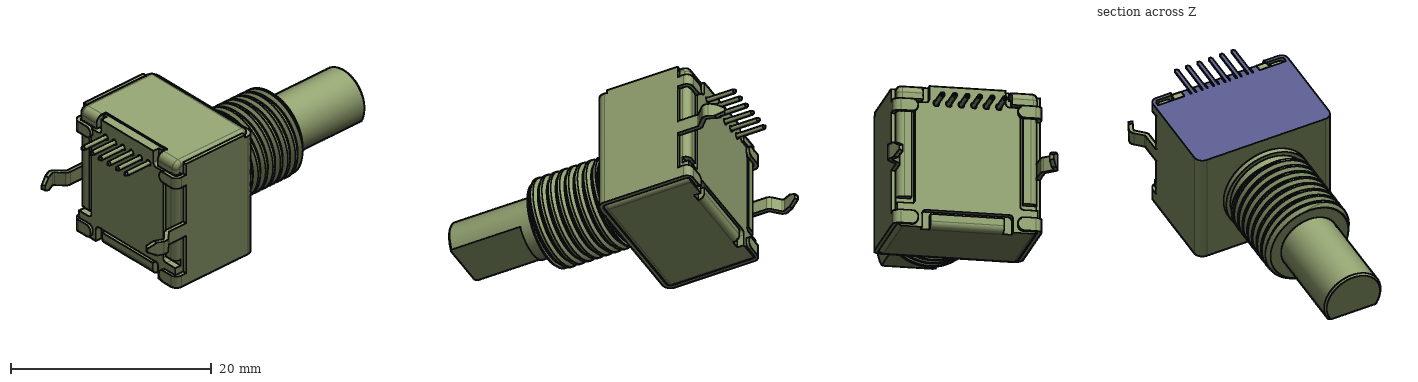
import cadquery as cq
import math


SHAFT_RADIUS = 6.35 / 2
SHAFT_TIP_Y = 18.95
SHAFT_CHAMFER = 0.2
FLAT_Z = -1.6
FLAT_END_Y = 11.05

THREAD_RADIUS = 9.49 / 2
NECK_RADIUS = 4.3
COLLAR_LENGTH = 0.6
BUSHING_END_Y = 9.43
THREAD_START_Y = 1.45
THREAD_CHAMFER = 0.4
THREAD_PITCH = 1.0
THREAD_PHASE = 0.2
THREAD_ROOT_RADIUS = 4.34
GROOVE_WIDTH = 0.7
GROOVE_FLOOR = 0.1
GROOVE_OVERLAP = 0.05

SHEET = 0.43
BRACKET_HALF_WIDTH = 7.57
BRACKET_BEND = 0.93
BRACKET_BOTTOM_Z = -6.53
PLATE_TOP_Z = 7.46
WALL_TOP_Z = 7.78
WALL_STEP_Y = -1.23
WALL_BACK_Y = -9.19

LOWER_TAB_Z = (BRACKET_BOTTOM_Z, -5.17)
UPPER_TAB_Z = (5.24, 6.47)
TAB_BACK_Y = -10.57
TAB_BEND = 0.72
TAB_TIP_X = 5.08
TAB_TIP_RADIUS = 0.6

BODY_HALF_WIDTH = BRACKET_HALF_WIDTH - SHEET
BODY_BOTTOM_Z = -6.75
BODY_TOP_Z = 8.01
BODY_BACK_Y = -10.24
BODY_ROUND = BRACKET_BEND - SHEET

RECESS_FLOOR_Y = -9.5
RECESS_CORNER = 0.42
RECESS_OVERRUN = 1.0
FLAP_BACK_Y = -10.2
FLAP_BEND = 0.7
SIDE_RECESS_X = 5.32
SIDE_RECESS_BOTTOM_Z = -4.33
SIDE_FLAP_X = 5.68
SIDE_FLAP_BOTTOM_Z = -3.65
SIDE_FLAP_TOP_Z = 5.97
TOP_RECESS_X = 3.87
TOP_RECESS_Z = 6.27
TOP_FLAP_X = 4.53
TOP_FLAP_Z = 6.59
TOP_FLAP_BEND = 0.77
BEND_MARGIN = 0.001
BOTTOM_RECESS_X = 4.62
BOTTOM_RECESS_Z = -4.94
BOTTOM_FLAP_X = 3.74
BOTTOM_FLAP_Z = -5.34

NOTCH_FRONT_Y = -8.98
NOTCH_GAP = 0.19
NOTCH_DEPTH = 0.78

PIN_COUNT = 6
PIN_PITCH = 1.27
PIN_Z = 6.26
PIN_RADIUS = 0.23
PIN_HOLE_RADIUS = 0.31
PIN_TIP_Y = -13.42
PIN_CHAMFER = 0.12
PIN_TIP_LENGTH = 0.2

LEG_HALF_WIDTH = 0.76
LEG_TIP_Y = -14.64
LEG_TAPER_Y = -13.72
LEG_TIP_HALF_WIDTH = 0.2
LEG_KNEE_Y = -11.52
LEG_OUTER_X = 17.26 / 2
LEG_LEAN_OUT = math.radians(46)
LEG_LEAN_IN = math.radians(25)
LEG_BEND = 0.65


def box(x_range, y_range, z_range):
    """Axis-aligned box from three (low, high) ranges."""
    ranges = (x_range, y_range, z_range)
    sizes = [high - low for low, high in ranges]
    corner = [low for low, high in ranges]
    return cq.Workplane("XY").box(*sizes, centered=False).translate(tuple(corner))


def mirrored(solid):
    """The solid together with its mirror image across X = 0."""
    return solid.union(solid.mirror("YZ"))


def cylinder(radius, y_start, y_end):
    """Cylinder on the shaft axis."""
    return cq.Workplane("XZ", origin=(0, y_start, 0)).circle(radius).extrude(y_start - y_end)


def make_shaft():
    """D-shaft with a chamfered tip and a flat on its -Z side."""
    shaft = cylinder(SHAFT_RADIUS, -SHEET, SHAFT_TIP_Y).faces(">Y").chamfer(SHAFT_CHAMFER)
    flat = box((-SHAFT_RADIUS, SHAFT_RADIUS), (FLAT_END_Y, SHAFT_TIP_Y), (-SHAFT_RADIUS, FLAT_Z))
    return shaft.cut(flat)


def make_thread_groove():
    """Helical V-groove cutter, long enough to run out past both ends of the thread."""
    start_y = THREAD_PHASE + THREAD_PITCH / 2
    length = (math.ceil(BUSHING_END_Y - start_y) + 1) * THREAD_PITCH
    mouth_radius = THREAD_RADIUS + GROOVE_OVERLAP
    flank_slope = (GROOVE_WIDTH - GROOVE_FLOOR) / (THREAD_RADIUS - THREAD_ROOT_RADIUS)
    half_floor = GROOVE_FLOOR / 2
    half_mouth = half_floor + flank_slope * (mouth_radius - THREAD_ROOT_RADIUS) / 2
    helix = cq.Wire.makeHelix(THREAD_PITCH, length, THREAD_ROOT_RADIUS)
    groove = (
        cq.Workplane("XZ")
        .moveTo(THREAD_ROOT_RADIUS, -half_floor)
        .lineTo(mouth_radius, -half_mouth)
        .lineTo(mouth_radius, half_mouth)
        .lineTo(THREAD_ROOT_RADIUS, half_floor)
        .close()
        .sweep(cq.Workplane(helix), isFrenet=True)
    )
    return groove.rotate((0, 0, 0), (1, 0, 0), -90).translate((0, start_y, 0))


def make_bushing():
    """Threaded bushing with a relief neck and a collar at the mounting face."""
    threaded = cylinder(THREAD_RADIUS, THREAD_START_Y, BUSHING_END_Y)
    threaded = threaded.faces(">Y").chamfer(THREAD_CHAMFER)
    threaded = threaded.cut(make_thread_groove())
    neck = cylinder(NECK_RADIUS, -SHEET, THREAD_START_Y)
    collar = cylinder(THREAD_RADIUS, -SHEET, COLLAR_LENGTH)
    return threaded.union(neck).union(collar)


def back_recess(x_range, z_range):
    """Rounded pocket cutter in the back of the body."""
    cutter = box(x_range, (BODY_BACK_Y, RECESS_FLOOR_Y), z_range)
    return cutter.edges("|Y").fillet(RECESS_CORNER)


def top_flap_block():
    """Square block enclosing the +X top corner flap."""
    y_range = (BODY_BACK_Y, BODY_BACK_Y + TOP_FLAP_BEND + BEND_MARGIN)
    return box((TOP_FLAP_X, BODY_HALF_WIDTH), y_range, (TOP_FLAP_Z, BODY_TOP_Z))


def make_body():
    """Housing body with its back recesses, the notch gap and the seats of the top flaps."""
    body = box(
        (-BODY_HALF_WIDTH, BODY_HALF_WIDTH), (BODY_BACK_Y, -SHEET), (BODY_BOTTOM_Z, BODY_TOP_Z)
    )
    body = body.edges("|Y or >Y").fillet(BODY_ROUND)

    beyond_x = BODY_HALF_WIDTH + RECESS_OVERRUN
    beyond_top = BODY_TOP_Z + RECESS_OVERRUN
    beyond_bottom = BODY_BOTTOM_Z - RECESS_OVERRUN
    side = back_recess((SIDE_RECESS_X, beyond_x), (SIDE_RECESS_BOTTOM_Z, beyond_top))
    top = back_recess((TOP_RECESS_X, beyond_x), (TOP_RECESS_Z, beyond_top))
    bottom = back_recess((-BOTTOM_RECESS_X, BOTTOM_RECESS_X), (beyond_bottom, BOTTOM_RECESS_Z))

    base_x = TOP_FLAP_X - NOTCH_GAP
    notch_z = (BODY_TOP_Z - NOTCH_DEPTH, BODY_TOP_Z)
    notch = box((-TOP_FLAP_X, TOP_FLAP_X), (BODY_BACK_Y, NOTCH_FRONT_Y), notch_z)
    base = box((-base_x, base_x), (BODY_BACK_Y, NOTCH_FRONT_Y - NOTCH_GAP), notch_z)
    gap = notch.cut(base)
    body = body.cut(mirrored(side)).cut(mirrored(top)).cut(bottom).cut(gap)
    return body.cut(mirrored(top_flap_block()))


def make_flaps():
    """Cover flaps bent over the back of the body at the top corners, sides and bottom."""
    y_range = (FLAP_BACK_Y, RECESS_FLOOR_Y)
    side = box((SIDE_FLAP_X, BODY_HALF_WIDTH), y_range, (SIDE_FLAP_BOTTOM_Z, SIDE_FLAP_TOP_Z))
    side = side.edges(">X and <Y").fillet(FLAP_BEND - BEND_MARGIN)

    top = top_flap_block().edges("<Y and >Z").fillet(TOP_FLAP_BEND)
    top = top.faces(">X").edges("not (<Z or >Y)").fillet(BODY_ROUND)

    bottom = box((-BOTTOM_FLAP_X, BOTTOM_FLAP_X), y_range, (BODY_BOTTOM_Z, BOTTOM_FLAP_Z))
    bottom = bottom.edges("<Y and <Z").fillet(FLAP_BEND - BEND_MARGIN)
    return mirrored(side).union(mirrored(top)).union(bottom)


def make_bracket():
    """Front plate bent back into two side walls."""
    outer = box(
        (-BRACKET_HALF_WIDTH, BRACKET_HALF_WIDTH), (WALL_BACK_Y, 0), (BRACKET_BOTTOM_Z, WALL_TOP_Z)
    )
    outer = outer.edges("|Z and >Y").fillet(BRACKET_BEND)
    inner = box(
        (-BODY_HALF_WIDTH, BODY_HALF_WIDTH), (WALL_BACK_Y, -SHEET), (BRACKET_BOTTOM_Z, WALL_TOP_Z)
    )
    inner = inner.edges("|Z and >Y").fillet(BODY_ROUND)
    front_step = box(
        (-BRACKET_HALF_WIDTH, BRACKET_HALF_WIDTH), (WALL_STEP_Y, 0), (PLATE_TOP_Z, WALL_TOP_Z)
    )
    return outer.cut(inner).cut(front_step)


def make_tab(z_range):
    """Tab that continues the +X side wall and folds inward over the back."""
    tab = box((TAB_TIP_X, BRACKET_HALF_WIDTH), (TAB_BACK_Y, WALL_BACK_Y), z_range)
    hollow = box((TAB_TIP_X, BODY_HALF_WIDTH), (TAB_BACK_Y + SHEET, WALL_BACK_Y), z_range)
    tab = tab.edges(">X and <Y").fillet(TAB_BEND)
    hollow = hollow.edges(">X and <Y").fillet(TAB_BEND - SHEET)
    return tab.cut(hollow).edges("<X and |Y").fillet(TAB_TIP_RADIUS)


def make_leg():
    """Bent snap-in leg that continues the +X side wall, with a pointed tip."""
    bisector = (LEG_LEAN_OUT - LEG_LEAN_IN) / 2
    half_turn = (LEG_LEAN_OUT + LEG_LEAN_IN) / 2
    elbow_x = LEG_OUTER_X - LEG_BEND + LEG_BEND * math.cos(bisector) / math.cos(half_turn)
    elbow_y = LEG_KNEE_Y - (elbow_x - BRACKET_HALF_WIDTH) / math.tan(LEG_LEAN_OUT)
    tip_x = elbow_x - (elbow_y - LEG_TIP_Y) * math.tan(LEG_LEAN_IN)
    knee_shift = SHEET * math.tan(LEG_LEAN_OUT / 2)
    elbow_reach = SHEET / math.cos(half_turn)
    inner_elbow = (
        elbow_x - elbow_reach * math.cos(bisector),
        elbow_y - elbow_reach * math.sin(bisector),
    )
    inner_tip = (tip_x - SHEET * math.cos(LEG_LEAN_IN), LEG_TIP_Y + SHEET * math.sin(LEG_LEAN_IN))
    outer_elbow = (elbow_x, elbow_y)
    outer_knee = (BRACKET_HALF_WIDTH, LEG_KNEE_Y)
    inner_knee = (BODY_HALF_WIDTH, LEG_KNEE_Y - knee_shift)
    profile = [
        (BRACKET_HALF_WIDTH, WALL_BACK_Y),
        outer_knee,
        outer_elbow,
        (tip_x, LEG_TIP_Y),
        inner_tip,
        inner_elbow,
        inner_knee,
        (BODY_HALF_WIDTH, WALL_BACK_Y),
    ]
    leg = cq.Workplane("XY").polyline(profile).close().extrude(LEG_HALF_WIDTH, both=True)
    bends = (
        (outer_elbow, LEG_BEND),
        (inner_elbow, LEG_BEND - SHEET),
        (inner_knee, LEG_BEND),
        (outer_knee, LEG_BEND - SHEET),
    )
    for corner, radius in bends:
        edge = cq.selectors.NearestToPointSelector((*corner, 0))
        leg = leg.edges("|Z").edges(edge).fillet(radius)
    outline = [
        (WALL_BACK_Y, LEG_HALF_WIDTH),
        (LEG_TAPER_Y, LEG_HALF_WIDTH),
        (LEG_TIP_Y, LEG_TIP_HALF_WIDTH),
        (LEG_TIP_Y, -LEG_TIP_HALF_WIDTH),
        (LEG_TAPER_Y, -LEG_HALF_WIDTH),
        (WALL_BACK_Y, -LEG_HALF_WIDTH),
    ]
    return leg.intersect(cq.Workplane("YZ").polyline(outline).close().extrude(LEG_OUTER_X))


def pin_cylinders(radius, y_end):
    """A row of cylinders at the pin centers, from the recess floor depth back to y_end."""
    first_x = -PIN_PITCH * (PIN_COUNT - 1) / 2
    centers = [(first_x + i * PIN_PITCH, PIN_Z) for i in range(PIN_COUNT)]
    row = cq.Workplane("XZ", origin=(0, RECESS_FLOOR_Y, 0)).pushPoints(centers)
    return row.circle(radius).extrude(RECESS_FLOOR_Y - y_end)


def make_pins():
    """Terminal pins with chamfered tips."""
    pins = pin_cylinders(PIN_RADIUS, PIN_TIP_Y)
    return pins.faces("<Y").chamfer(PIN_TIP_LENGTH, PIN_CHAMFER)


def make_part():
    part = make_body().union(make_flaps()).union(make_bracket())
    for z_range in (LOWER_TAB_Z, UPPER_TAB_Z):
        part = part.union(mirrored(make_tab(z_range)))
    part = part.union(mirrored(make_leg()))
    part = part.cut(pin_cylinders(PIN_HOLE_RADIUS, BODY_BACK_Y)).union(make_pins())
    return part.union(make_bushing()).union(make_shaft())


result = make_part()